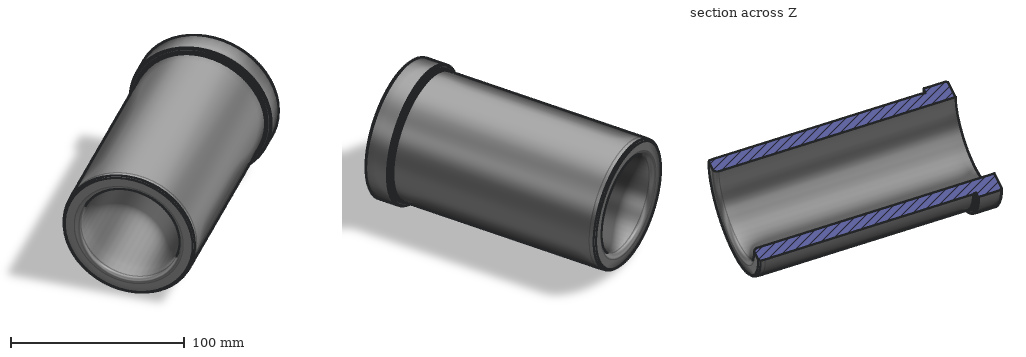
import cadquery as cq

length = 150.0
head_diameter = 86.0
head_length = 15.3
barrel_diameter = 80.0
bore_diameter = 60.0

edge_chamfer = 1.0
shoulder_chamfer = 0.6
bore_mouth_radius = 3.0
relief_length = 2.0
relief_depth = 0.5
relief_ramp = 1.0
undercut_depth = 0.3
undercut_lip = 0.8
lead_length = 3.9
lead_depth = 0.2

head_radius = head_diameter / 2
barrel_radius = barrel_diameter / 2
bore_radius = bore_diameter / 2
relief_radius = barrel_radius - relief_depth
lead_radius = barrel_radius - lead_depth

barrel_end = -length / 2
head_face = length / 2
shoulder = head_face - head_length
relief_end = shoulder - relief_length


def make_body():
    """Revolve the outer outline, with its relief groove and undercut shoulder, around Y."""
    outline = (
        cq.Workplane("XY")
        .moveTo(0, barrel_end)
        .lineTo(lead_radius - edge_chamfer, barrel_end)
        .lineTo(lead_radius, barrel_end + edge_chamfer)
        .lineTo(barrel_radius, barrel_end + lead_length)
        .lineTo(barrel_radius, relief_end)
        .lineTo(relief_radius, relief_end + relief_ramp)
        .lineTo(relief_radius, shoulder + undercut_depth)
        .lineTo(barrel_radius, shoulder + undercut_depth)
        .lineTo(barrel_radius + undercut_lip, shoulder)
        .lineTo(head_radius - shoulder_chamfer, shoulder)
        .lineTo(head_radius, shoulder + shoulder_chamfer)
        .lineTo(head_radius, head_face - edge_chamfer)
        .lineTo(head_radius - edge_chamfer, head_face)
        .lineTo(0, head_face)
        .close()
    )
    return outline.revolve(360, (0, 0), (0, 1))


def make_bore():
    """Through bore with a rounded mouth at the barrel end."""
    mouth_radius = bore_radius + bore_mouth_radius
    mouth_depth = barrel_end + bore_mouth_radius
    arc_offset = bore_mouth_radius * (1 - 0.5 ** 0.5)
    outline = (
        cq.Workplane("XY")
        .moveTo(0, barrel_end)
        .lineTo(mouth_radius, barrel_end)
        .threePointArc(
            (bore_radius + arc_offset, barrel_end + arc_offset),
            (bore_radius, mouth_depth),
        )
        .lineTo(bore_radius, head_face)
        .lineTo(0, head_face)
        .close()
    )
    return outline.revolve(360, (0, 0), (0, 1))


result = make_body().cut(make_bore())